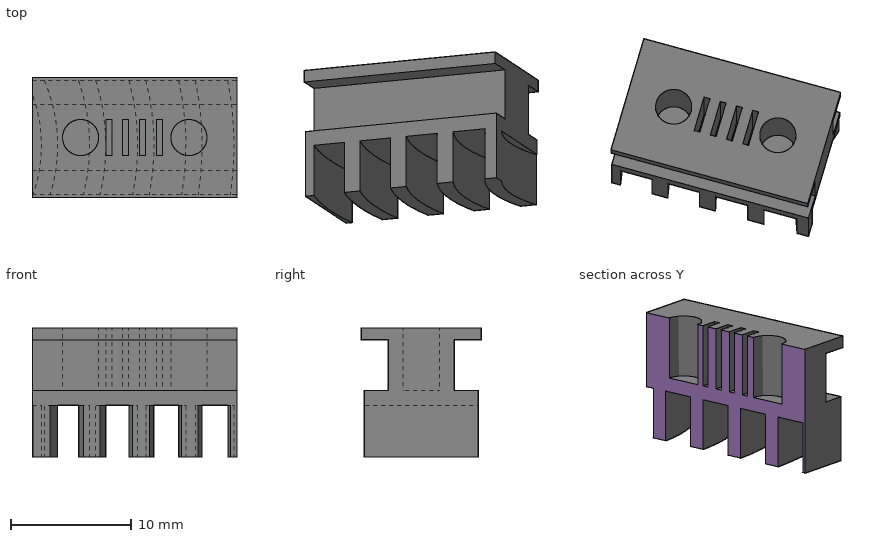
import cadquery as cq

LENGTH = 17.0
TOTAL_HEIGHT = 10.75

FLANGE_WIDTH = 10.0
FLANGE_THICKNESS = 1.0
WEB_WIDTH = 5.5
WEB_HEIGHT = 4.2
BASE_WIDTH = 9.5

GAP_HEIGHT = 4.3
GAP_COUNT = 5
GAP_PITCH = 4.0
GAP_WIDTH = 2.65
INNER_GAP_OUTER_RADIUS = 12.4
RING_CENTER_X = -20.15
RING_CENTER_Y = -0.65

HOLE_COUNT = 2
HOLE_DIAMETER = 3.0
HOLE_SPACING = 9.0
SLOT_COUNT = 4
SLOT_PITCH = 1.4
SLOT_WIDTH = 0.5
SLOT_LENGTH = HOLE_DIAMETER
SLOT_ROW_CENTER_X = -0.05

flange_bottom = TOTAL_HEIGHT - FLANGE_THICKNESS
base_top = flange_bottom - WEB_HEIGHT
pocket_depth = TOTAL_HEIGHT - base_top


def slab(width, bottom, top):
    """Full-length slab centred in X and Y between two Z levels."""
    return (
        cq.Workplane("XY")
        .workplane(offset=bottom)
        .rect(LENGTH, width)
        .extrude(top - bottom)
    )


def make_body():
    base = slab(BASE_WIDTH, 0, base_top)
    web = slab(WEB_WIDTH, base_top, flange_bottom)
    flange = slab(FLANGE_WIDTH, flange_bottom, TOTAL_HEIGHT)
    return base.union(web).union(flange)


def cut_leg_gaps(body):
    for index in range(GAP_COUNT):
        outer_radius = INNER_GAP_OUTER_RADIUS + index * GAP_PITCH
        ring = (
            cq.Workplane("XY")
            .center(RING_CENTER_X, RING_CENTER_Y)
            .circle(outer_radius)
            .circle(outer_radius - GAP_WIDTH)
            .extrude(GAP_HEIGHT)
        )
        body = body.cut(ring)
    return body


def top_plane():
    return cq.Workplane("XY").workplane(offset=TOTAL_HEIGHT)


def cut_top_pockets(body):
    holes = (
        top_plane()
        .rarray(HOLE_SPACING, 1, HOLE_COUNT, 1)
        .circle(HOLE_DIAMETER / 2)
        .extrude(-pocket_depth)
    )
    slots = (
        top_plane()
        .center(SLOT_ROW_CENTER_X, 0)
        .rarray(SLOT_PITCH, 1, SLOT_COUNT, 1)
        .rect(SLOT_WIDTH, SLOT_LENGTH)
        .extrude(-pocket_depth)
    )
    return body.cut(holes).cut(slots)


result = cut_top_pockets(cut_leg_gaps(make_body()))